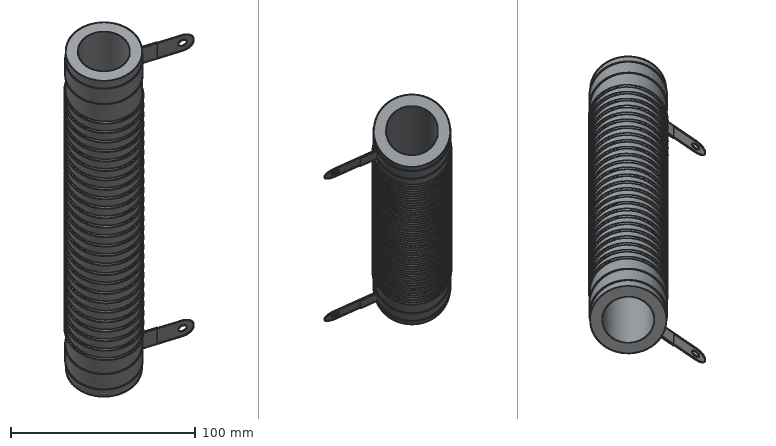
import cadquery as cq

tube_length = 266.7
tube_radius = 20.8
bore_radius = 14.1

band_thickness = 0.4
band_radius = tube_radius + band_thickness
band_height = 13.0
band_end_offset = 6.5

leaf_thickness = 0.4
tab_tip_y = 52.5
short_leaf_tip_y = 31.2
tab_hole_diameter = 4.8
root_radius = (bore_radius + tube_radius) / 2

wire_radius = 0.8
wire_turns = 26
winding_end_offset = 29.5
winding_height = tube_length - 2 * winding_end_offset
winding_pitch = winding_height / wire_turns


def cylinder(radius, bottom, height):
    return cq.Workplane("XY").workplane(offset=bottom).circle(radius).extrude(height)


def terminal(bottom):
    """Band around the tube with its two-leaf tab pointing along +Y."""
    middle = bottom + band_height / 2
    end_radius = band_height / 2
    end_center_y = tab_tip_y - end_radius
    long_leaf = (
        cq.Workplane("YZ")
        .moveTo(root_radius, bottom)
        .lineTo(end_center_y, bottom)
        .threePointArc((tab_tip_y, middle), (end_center_y, bottom + band_height))
        .lineTo(root_radius, bottom + band_height)
        .close()
        .moveTo(end_center_y, middle)
        .circle(tab_hole_diameter / 2)
        .extrude(leaf_thickness)
    )
    short_leaf = cq.Workplane("XY").box(
        leaf_thickness, short_leaf_tip_y - root_radius, band_height, centered=False
    ).translate((-leaf_thickness, root_radius, bottom))
    band = cylinder(band_radius, bottom, band_height).cut(cylinder(root_radius, bottom, band_height))
    return band.union(long_leaf).union(short_leaf)


def winding():
    """Round wire on a helix that starts and ends on the +Y side."""
    helix = cq.Wire.makeHelix(winding_pitch, winding_height, tube_radius, lefthand=True)
    wire = (
        cq.Workplane("XZ")
        .center(tube_radius, 0)
        .circle(wire_radius)
        .sweep(cq.Workplane(obj=helix), isFrenet=True)
    )
    return wire.rotate((0, 0, 0), (0, 0, 1), 90).translate((0, 0, winding_end_offset))


tube = cylinder(tube_radius, 0, tube_length).cut(cylinder(bore_radius, 0, tube_length))
result = tube.union(winding(), clean=False)
for band_bottom in (band_end_offset, tube_length - band_end_offset - band_height):
    result = result.union(terminal(band_bottom), clean=False)